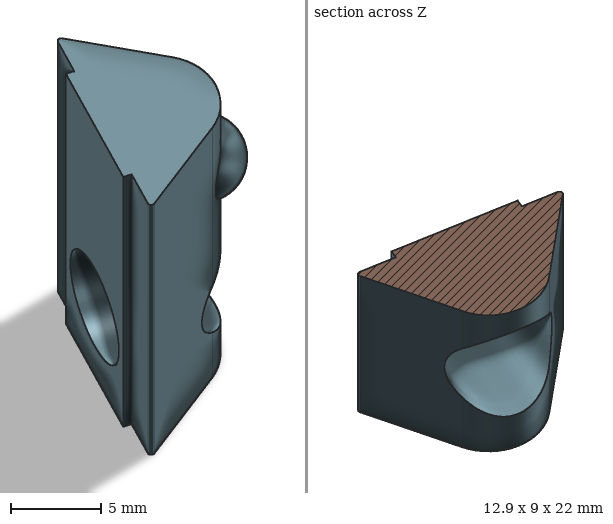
import cadquery as cq
import math

length = 22.0
body_width = 12.92
body_height = 7.3
crest_radius = 3.4
edge_radius = 0.2

pad_width = 8.0
pad_height = 0.5

hole_diameter = 6.8
hole_z = 6.0

ball_diameter = 5.0
overall_height = 9.0
ball_y = overall_height - ball_diameter / 2
ball_z = 16.0

crest_center_y = body_height - crest_radius
edge_center_x = body_width / 2 - edge_radius
edge_center_y = pad_height + edge_radius
center_drop = crest_center_y - edge_center_y
center_distance = math.hypot(edge_center_x, center_drop)
flank_normal_angle = (
    math.acos((crest_radius - edge_radius) / center_distance)
    - math.atan2(center_drop, edge_center_x)
)


def tangent_point(center_x, center_y, radius):
    """Point where the right-hand flank touches an arc of the section."""
    return (
        center_x + radius * math.cos(flank_normal_angle),
        center_y + radius * math.sin(flank_normal_angle),
    )


def mirrored(point):
    """Reflect a section point across the YZ symmetry plane."""
    return (-point[0], point[1])


def make_body():
    pad_corner = (pad_width / 2, 0)
    ledge_inner = (pad_width / 2, pad_height)
    ledge_outer = (edge_center_x, pad_height)
    edge_mid_angle = (flank_normal_angle - math.pi / 2) / 2
    edge_mid = (
        edge_center_x + edge_radius * math.cos(edge_mid_angle),
        edge_center_y + edge_radius * math.sin(edge_mid_angle),
    )
    flank_low = tangent_point(edge_center_x, edge_center_y, edge_radius)
    flank_high = tangent_point(0, crest_center_y, crest_radius)
    return (
        cq.Workplane("XY")
        .moveTo(*mirrored(pad_corner))
        .lineTo(*pad_corner)
        .lineTo(*ledge_inner)
        .lineTo(*ledge_outer)
        .threePointArc(edge_mid, flank_low)
        .lineTo(*flank_high)
        .threePointArc((0, body_height), mirrored(flank_high))
        .lineTo(*mirrored(flank_low))
        .threePointArc(mirrored(edge_mid), mirrored(ledge_outer))
        .lineTo(*mirrored(ledge_inner))
        .close()
        .extrude(length)
    )


def make_ball():
    return cq.Workplane("XY").sphere(ball_diameter / 2).translate((0, ball_y, ball_z))


def make_hole():
    return (
        cq.Workplane("XZ")
        .center(0, hole_z)
        .circle(hole_diameter / 2)
        .extrude(-body_height)
    )


result = make_body().cut(make_hole()).union(make_ball())